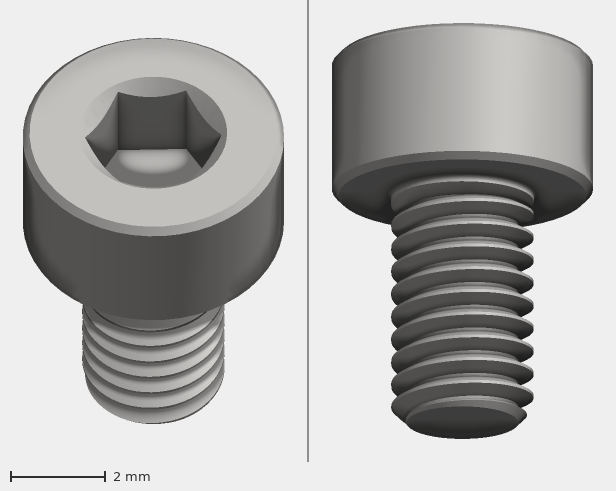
import cadquery as cq
import math

total_length = 8.0
head_height = 3.0
head_diameter = 5.5
head_chamfer = 0.14

hex_across_flats = 2.5
socket_depth = 2.0
lead_in_diameter = 3.1

thread_diameter = 3.0
pitches_per_diameter = 6
pitch = thread_diameter / pitches_per_diameter
crest_width = pitch / 8
root_width = pitch / 8
flank_angle = math.radians(30)
first_crest_height = 0.41
neck_fillet = 0.1
collar_height = 0.14
collar_clearance = 0.004
ridge_overlap = 0.02

shank_length = total_length - head_height
thread_top = shank_length - neck_fillet
thread_radius = thread_diameter / 2
thread_depth = (pitch - crest_width - root_width) / 2 / math.tan(flank_angle)
root_radius = thread_radius - thread_depth
collar_radius = thread_radius + collar_clearance


def make_head():
    return (
        cq.Workplane("XY", origin=(0, 0, shank_length))
        .circle(head_diameter / 2)
        .extrude(head_height)
        .faces("<Z or >Z")
        .chamfer(head_chamfer)
    )


def make_thread_ridge():
    """Right-handed ridge, rooted inside the core, that runs past both ends of the shank."""
    start_height = first_crest_height - 2 * pitch
    turns = math.ceil((shank_length - start_height) / pitch) + 1
    inner_radius = root_radius - ridge_overlap
    crest_half_width = crest_width / 2
    inner_half_width = crest_half_width + (thread_radius - inner_radius) * math.tan(flank_angle)
    corners = [
        (inner_radius, -inner_half_width),
        (thread_radius, -crest_half_width),
        (thread_radius, crest_half_width),
        (inner_radius, inner_half_width),
    ]
    helices = [
        cq.Wire.makeHelix(pitch, turns * pitch, radius).translate(cq.Vector(0, 0, start_height + height))
        for radius, height in corners
    ]
    faces = [cq.Face.makeRuledSurface(helices[i - 1], helices[i]) for i in range(len(helices))]
    for end_height in (start_height, start_height + turns * pitch):
        outline = [cq.Vector(radius, 0, end_height + height) for radius, height in corners]
        faces.append(cq.Face.makeFromWires(cq.Wire.makePolygon(outline, close=True)))
    return cq.Workplane(cq.Solid.makeSolid(cq.Shell.makeShell(faces)))


def make_threaded_shank():
    """Core and ridge, trimmed below the head with a 45 degree tip chamfer down to the root."""
    envelope_growth = 2 * thread_depth
    envelope = (
        cq.Workplane("XY")
        .circle(root_radius + envelope_growth)
        .extrude(thread_top)
        .faces("<Z")
        .chamfer(envelope_growth)
    )
    core = cq.Workplane("XY").circle(root_radius).extrude(thread_top)
    return core.union(make_thread_ridge().intersect(envelope))


def make_collar():
    """Neck under the head: cone at the thread run-out, short cylinder, fillet into the head."""
    collar_bottom = shank_length - collar_height
    cone_tip_radius = root_radius - ridge_overlap
    cone_bottom = collar_bottom - (collar_radius - cone_tip_radius) * math.tan(flank_angle)
    fillet_mid = neck_fillet * (1 - math.sqrt(0.5))
    return (
        cq.Workplane("XZ")
        .moveTo(0, cone_bottom)
        .lineTo(cone_tip_radius, cone_bottom)
        .lineTo(collar_radius, collar_bottom)
        .lineTo(collar_radius, shank_length - neck_fillet)
        .threePointArc(
            (collar_radius + fillet_mid, shank_length - fillet_mid),
            (collar_radius + neck_fillet, shank_length),
        )
        .lineTo(0, shank_length)
        .close()
        .revolve(360, (0, 0), (0, 1))
    )


def make_socket():
    across_corners = hex_across_flats / math.cos(math.radians(30))
    hexagon = (
        cq.Workplane("XY", origin=(0, 0, total_length - socket_depth))
        .transformed(rotate=(0, 0, 90))
        .polygon(6, across_corners)
        .extrude(socket_depth)
    )
    lead_in_radius = lead_in_diameter / 2
    cone_tip = cq.Vector(0, 0, total_length - lead_in_radius)
    lead_in = cq.Solid.makeCone(0, lead_in_radius, lead_in_radius, pnt=cone_tip)
    return hexagon.union(cq.Workplane(lead_in))


shank = make_threaded_shank().union(make_collar())
result = make_head().union(shank).cut(make_socket())